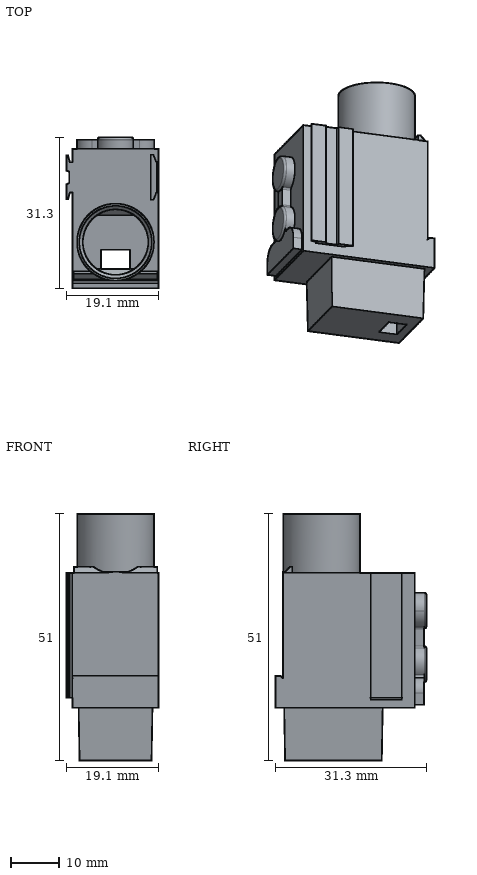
import cadquery as cq
import math

body_width = 17.8
body_depth = 27.3
body_top = 38.8
flange_bottom = 10.9
flange_top = 12.95
half_width = body_width / 2

lip_depth = 1.55
lip_top = 17.5
lip_chamfer = 0.45

plug_width = 15.3
plug_depth = 20.4
plug_front = 0.25
plug_draft = 1.0

tube_diameter = 15.9
bore_diameter = 13.5
tube_top = 51.0
tube_y = 8.0
mouth_rim = 0.45
mouth_chamfer = (tube_diameter - bore_diameter) / 2 - mouth_rim
root_flare = 0.25

floor_length = 11.0
passage_width = 5.9
passage_depth = 3.95

ridge_width = 17.25
ridge_front = 0.3
ridge_back = 2.0
ridge_crest = 0.5
ridge_height = 1.2

dovetail_from_back = 5.9
dovetail_y = body_depth - dovetail_from_back
rail_height = 1.3
rail_tip_half = 4.55
rail_neck_half = 3.15
rail_edge = 0.35
neck_height = 0.5
notch_depth = 0.6
notch_mouth_half = 1.45
notch_floor_half = 1.1
slot_depth = 1.65
slot_half = 4.65
slot_neck_half = 3.2
slot_edge = 0.55
sill_step = 0.35

button_diameter = 7.4
button_height = 2.4
button_fillet = 0.45
button_heights = (31.0, 19.95)
neck_width = 2.45
plate_thickness = 1.9
plate_width = 16.0
plate_bottom = 11.55
plate_top = 17.1
plate_corner = 3.05
plate_blend = 0.45


def box(x_size, y_min, y_max, z_min, z_max):
    """Block centred in X between the given Y and Z limits."""
    return (
        cq.Workplane("XY")
        .box(x_size, y_max - y_min, z_max - z_min, centered=(True, False, False))
        .translate((0, y_min, z_min))
    )


def side_profile(points, width):
    """Extrude a (Y, Z) outline along X, centred on X = 0."""
    return cq.Workplane("YZ").polyline(points).close().extrude(width / 2, both=True)


def housing():
    """Block, flange and chamfered front lip."""
    outline = [
        (-lip_depth, flange_bottom),
        (body_depth, flange_bottom),
        (body_depth, body_top),
        (0, body_top),
        (0, lip_top - lip_chamfer),
        (-lip_chamfer, lip_top),
        (-lip_depth, lip_top),
    ]
    return side_profile(outline, body_width)


def plug():
    """Plug narrowing downward from the flange."""
    return (
        cq.Workplane("XY", origin=(0, plug_front + plug_depth / 2, flange_bottom))
        .rect(plug_width, plug_depth)
        .extrude(-flange_bottom, taper=plug_draft)
    )


def ridge():
    """Ridge with an upright back, a flat crest and a sloping front."""
    crest_z = body_top + ridge_height
    outline = [
        (ridge_front, body_top),
        (ridge_back, body_top),
        (ridge_back, crest_z),
        (ridge_back - ridge_crest, crest_z),
    ]
    return side_profile(outline, ridge_width)


def tube():
    """Tube with a small flare at its root, ahead of the ridge."""
    radius = tube_diameter / 2
    base = cq.Workplane("XY", origin=(0, tube_y, body_top))
    root_center = cq.Vector(0, tube_y, body_top)
    flare = cq.Workplane(cq.Solid.makeCone(radius + root_flare, radius, root_flare, root_center))
    front_strip = box(body_width, 0, ridge_front, body_top, body_top + root_flare)
    return base.circle(radius).extrude(tube_top - body_top).union(flare.intersect(front_strip))


def bore():
    """Round bore with a chamfered mouth and ramps at the front and back of its floor."""
    radius = bore_diameter / 2
    ramp = radius - floor_length / 2
    cutter = (
        cq.Workplane("XY", origin=(0, tube_y, flange_top))
        .circle(radius)
        .extrude(tube_top - flange_top)
    )
    mouth_start = cq.Vector(0, tube_y, tube_top - mouth_chamfer)
    mouth = cq.Solid.makeCone(radius, radius + mouth_chamfer, mouth_chamfer, mouth_start)
    cutter = cutter.union(cq.Workplane(mouth))
    for side in (-1, 1):
        wall_y = tube_y + side * radius
        outline = [
            (wall_y - side * ramp, flange_top),
            (wall_y, flange_top),
            (wall_y, flange_top + ramp),
        ]
        cutter = cutter.cut(side_profile(outline, bore_diameter))
    return cutter


def passage():
    """Rectangular passage from the front of the bore floor down through the plug."""
    front = tube_y - floor_length / 2
    return box(passage_width, front, front + passage_depth, 0, flange_top)


def dovetail(points):
    """Extrude a mirror-symmetric (X, half Y) outline over the height of the block."""
    upper = [(x, dovetail_y + y) for x, y in points]
    lower = [(x, dovetail_y - y) for x, y in reversed(points)]
    return (
        cq.Workplane("XY", origin=(0, 0, flange_top))
        .polyline(upper + lower)
        .close()
        .extrude(body_top - flange_top)
    )


def rail():
    """Dovetail rail with a notch along the middle of its face."""
    tip_x = -half_width - rail_height
    return dovetail(
        [
            (tip_x + notch_depth, notch_floor_half),
            (tip_x, notch_mouth_half),
            (tip_x, rail_tip_half),
            (tip_x + rail_edge, rail_tip_half),
            (-half_width - neck_height, rail_neck_half),
            (-half_width, rail_neck_half),
        ]
    )


def slot():
    """Dovetail slot that receives the rail, with a stepped sill at its lower mouth."""
    floor_x = half_width - slot_depth
    groove = dovetail(
        [
            (floor_x, slot_half),
            (floor_x + slot_edge, slot_half),
            (half_width - neck_height, slot_neck_half),
            (half_width, slot_neck_half),
        ]
    )
    sill = (
        cq.Workplane("XY")
        .box(sill_step, 2 * slot_neck_half, sill_step)
        .translate((half_width - sill_step / 2, dovetail_y, flange_top - sill_step / 2))
    )
    return groove.union(sill)


def disc(center_z, thickness):
    """Disc of the button diameter standing on the back face."""
    return (
        cq.Workplane("XZ", origin=(0, body_depth, center_z))
        .circle(button_diameter / 2)
        .extrude(-thickness)
    )


def button(center_z):
    """Round button on the back face with a rounded rim."""
    return disc(center_z, button_height).faces(">Y").edges().fillet(button_fillet)


def back_plate():
    """Foot with rounded upper corners and a neck, blended into the button outlines."""
    upper, lower = button_heights
    plate_end = body_depth + plate_thickness
    foot = (
        box(plate_width, body_depth, plate_end, plate_bottom, plate_top)
        .edges("|Y and >Z")
        .fillet(plate_corner)
    )
    plate = foot.union(box(neck_width, body_depth, plate_end, lower, upper))
    for center_z in button_heights:
        plate = plate.union(disc(center_z, plate_thickness))

    radius = button_diameter / 2
    neck_offset = math.sqrt(radius**2 - (neck_width / 2) ** 2)
    foot_half = math.sqrt(radius**2 - (lower - plate_top) ** 2)
    corners = (
        (neck_width / 2, upper - neck_offset),
        (neck_width / 2, lower + neck_offset),
        (foot_half, plate_top),
    )
    middle_y = body_depth + plate_thickness / 2
    for x, z in corners:
        for side in (-1, 1):
            corner = cq.selectors.NearestToPointSelector((side * x, middle_y, z))
            plate = plate.edges("|Y").edges(corner).fillet(plate_blend)
    return plate


result = housing().union(plug()).union(ridge()).union(tube()).union(rail())
result = result.cut(slot()).cut(bore()).cut(passage())
result = result.union(back_plate())
for button_z in button_heights:
    result = result.union(button(button_z))